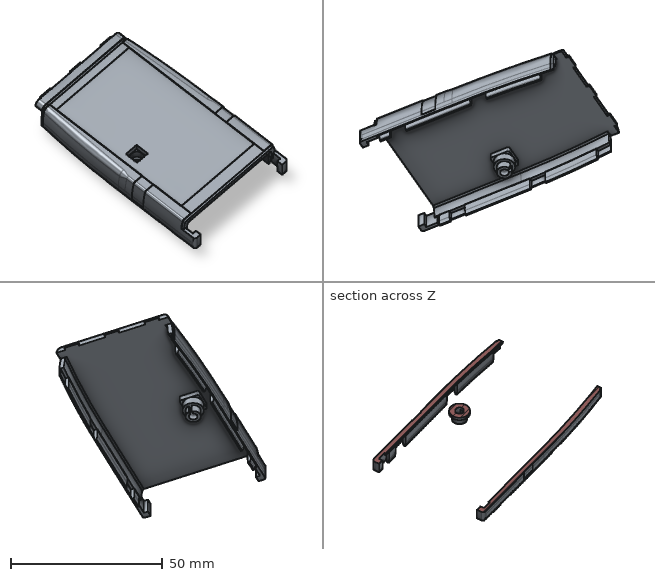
import cadquery as cq

top_z = 11.5
plate_bottom_z = 9.55
wall_step_z = 4.9
skirt_z = 2.95
rim_z = 2.0
foot_edge_z = 0.5

tongue_start = 1.0
lip_start = 4.0
body_start = 4.9
corner_change_start = 40.9
corner_change_end = 43.9
grip_start = 47.1
grip_end = 52.2
body_end = 69.35
lip_end = 70.25
arm_end = 75.7

full_half_width = 22.5
front_half_width = 20.8
taper_end = 37.85

front_flat_half = 18.4
mid_flat_half = 19.9
rear_flat_half = 20.7
front_corner_depth = 1.75
rear_corner_depth = 0.7
front_side_lean = 0.5
rear_side_lean = 0.8
side_bow = 0.2
skirt_draft = 0.3
lip_inset = 0.3
grip_depth = 0.15

upper_wall = 1.9
top_corner_wall = 2.35
lower_wall = 0.75
cavity_corner = 0.6

foot_spans = [(8.9, 28.7), (34.5, 58.75), (64.6, 68.4)]
foot_top_inset = 0.7
foot_edge_inset = 1.0
foot_bottom_inset = 1.3
foot_inner_inset = 2.05
foot_bottom_inner_inset = 1.8

tongue_half_width = 20.2
tongue_flat_half = 18.25
tab_width = 5.0
tab_height = 0.8
tab_spacing = 14.45

arm_top_z = 7.65
arm_thickness = 1.5
hook_start = 73.5
hook_tip_half = 19.5
hook_corner = 1.2

panel_half_width = 17.5
strip_depth = 0.2
panel_depth = 0.4
panel_start = 7.95
panel_end = 64.9

boss_x = 39.5
boss_y = -12.0
boss_width = 7.05
boss_corner = 0.6
boss_square_z = 7.6
boss_round_z = 4.8
tube_diameter = 5.1
pocket_width = 5.1
pocket_floor_z = 8.8
bore_diameter = 5.0
bore_floor_z = 5.9
hole_diameter = 2.8
tube_slot_width = 1.1

arc_mid = 0.5 ** 0.5


def fraction(x, start, end):
    """How far x lies from start to end, held between 0 and 1."""
    return min(1.0, max(0.0, (x - start) / (end - start)))


def blend(first, last, share):
    return first + (last - first) * share


def half_width(x):
    """Half width of the case at x: a parabola up to the straight stretch."""
    remaining = 1 - fraction(x, lip_start, taper_end)
    return blend(full_half_width, front_half_width, remaining ** 2)


def corner_shape(x):
    """Flat half width, corner depth and side lean of the outer section at x."""
    along = fraction(x, body_start, corner_change_start)
    flat_half = blend(front_flat_half, mid_flat_half, along)
    change = fraction(x, corner_change_start, corner_change_end)
    smooth_change = change ** 2 * (3 - 2 * change)
    return (
        blend(flat_half, rear_flat_half, smooth_change),
        blend(front_corner_depth, rear_corner_depth, smooth_change),
        blend(front_side_lean, rear_side_lean, smooth_change),
    )


def outer_section(x, inset=0.0):
    """Closed outer wire at x, drawn in the YZ plane; the inset spares the rim."""
    flat_half, corner_depth, side_lean = corner_shape(x)
    flat_half -= inset
    width = half_width(x) - inset
    rim = half_width(x) - skirt_draft
    top = top_z - inset
    shoulder = width - side_lean
    shoulder_z = top - corner_depth
    corner_y = flat_half + (shoulder - flat_half) * arc_mid
    corner_z = shoulder_z + corner_depth * arc_mid
    bow_y = (shoulder + width) / 2 + side_bow * side_lean
    bow_z = (shoulder_z + wall_step_z) / 2
    return (
        cq.Workplane("YZ", origin=(x, 0, 0))
        .moveTo(-flat_half, top)
        .lineTo(flat_half, top)
        .threePointArc((corner_y, corner_z), (shoulder, shoulder_z))
        .threePointArc((bow_y, bow_z), (width, wall_step_z))
        .lineTo(width, skirt_z)
        .lineTo(rim, rim_z)
        .lineTo(-rim, rim_z)
        .lineTo(-width, skirt_z)
        .lineTo(-width, wall_step_z)
        .threePointArc((-bow_y, bow_z), (-shoulder, shoulder_z))
        .threePointArc((-corner_y, corner_z), (-flat_half, top))
        .close()
    )


def cavity_section(x):
    """Closed inner wire at x with a step where the lower wall gets thinner."""
    width = half_width(x)
    top_half = width - top_corner_wall
    step_half = width - upper_wall
    low_half = width - lower_wall
    right = [
        (top_half - cavity_corner, plate_bottom_z),
        (top_half, plate_bottom_z - cavity_corner),
        (step_half, wall_step_z),
        (low_half, wall_step_z),
        (low_half, 0),
    ]
    left = [(-y, z) for y, z in reversed(right)]
    return cq.Workplane("YZ", origin=(x, 0, 0)).polyline(right + left).close()


def foot_section(x, side):
    """Closed foot wire at x on the side +1 or -1, with a bevelled lower edge."""
    width = half_width(x)
    points = [
        (width - foot_inner_inset, wall_step_z),
        (width - foot_top_inset, wall_step_z),
        (width - foot_top_inset, rim_z),
        (width - foot_edge_inset, foot_edge_z),
        (width - foot_bottom_inset, 0),
        (width - foot_bottom_inner_inset, 0),
        (width - foot_inner_inset, rim_z),
    ]
    sided_points = [(side * y, z) for y, z in points]
    return cq.Workplane("YZ", origin=(x, 0, 0)).polyline(sided_points).close()


def loft(sections, ruled=False):
    wires = [section.val() for section in sections]
    return cq.Workplane(cq.Solid.makeLoft(wires, ruled))


def block(x0, x1, y0, y1, z0, z1):
    return cq.Workplane().box(x1 - x0, y1 - y0, z1 - z0, centered=False).translate((x0, y0, z0))


def stations(start, end):
    """Five evenly spaced stations from start to end."""
    return [start + (end - start) * i / 4 for i in range(5)]


def make_shell():
    """Outer case with lips at both ends and grip recesses above the skirt, hollow from below."""
    tapered = loft([outer_section(x) for x in stations(body_start, corner_change_start)])
    change = loft([outer_section(x) for x in stations(corner_change_start, corner_change_end)])
    straight = outer_section(corner_change_end).extrude(body_end - corner_change_end)
    front_lip = loft([outer_section(x, lip_inset) for x in (lip_start, body_start)], True)
    rear_lip = outer_section(body_end, lip_inset).extrude(lip_end - body_end)
    shell = tapered.union(change).union(straight).union(front_lip).union(rear_lip)

    grip_length = grip_end - grip_start
    grip = outer_section(grip_start).extrude(grip_length)
    grip = grip.cut(outer_section(grip_start, grip_depth).extrude(grip_length))
    grip = grip.cut(block(grip_start, grip_end, -full_half_width, full_half_width, 0, skirt_z))
    shell = shell.cut(grip)

    tapered_cavity = loft([cavity_section(x) for x in stations(lip_start, taper_end)])
    straight_cavity = cavity_section(taper_end).extrude(lip_end - taper_end)
    return shell.cut(tapered_cavity).cut(straight_cavity)


def make_foot(start, end, side):
    return loft([foot_section(x, side) for x in stations(start, end)])


def make_tongue():
    """Round-shouldered tongue at the front with three tabs on its end."""
    corner_y = tongue_flat_half + (tongue_half_width - tongue_flat_half) * arc_mid
    corner_z = plate_bottom_z + (top_z - plate_bottom_z) * arc_mid
    tongue = (
        cq.Workplane("YZ", origin=(tongue_start, 0, 0))
        .moveTo(-tongue_flat_half, top_z)
        .lineTo(tongue_flat_half, top_z)
        .threePointArc((corner_y, corner_z), (tongue_half_width, plate_bottom_z))
        .lineTo(-tongue_half_width, plate_bottom_z)
        .threePointArc((-corner_y, corner_z), (-tongue_flat_half, top_z))
        .close()
        .extrude(lip_start - tongue_start)
    )
    for y in (-tab_spacing, 0, tab_spacing):
        tab = block(
            0, tongue_start,
            y - tab_width / 2, y + tab_width / 2,
            plate_bottom_z, plate_bottom_z + tab_height,
        )
        tongue = tongue.union(tab)
    return tongue


def make_arms():
    """Pair of arms behind the side walls, hooked inward at their ends."""
    arm_inner = full_half_width - arm_thickness
    plan = (
        cq.Workplane("XY")
        .moveTo(body_end, full_half_width)
        .lineTo(arm_end - hook_corner, full_half_width)
        .radiusArc((arm_end, full_half_width - hook_corner), hook_corner)
        .lineTo(arm_end, hook_tip_half)
        .lineTo(hook_start, hook_tip_half)
        .lineTo(hook_start, arm_inner)
        .lineTo(body_end, arm_inner)
        .close()
        .extrude(arm_top_z)
    )
    profile = outer_section(body_end).extrude(arm_end - body_end)
    arm = plan.intersect(profile)
    return arm.union(arm.mirror("XZ"))


def add_screw_boss(part):
    """Square-topped boss stepping down to a slotted tube, bored from above."""
    def round_bar(diameter, z0, z1):
        base = cq.Workplane("XY", origin=(boss_x, boss_y, z0))
        return base.circle(diameter / 2).extrude(z1 - z0)

    def square_bar(width, z0, z1):
        base = cq.Workplane("XY", origin=(boss_x, boss_y, z0))
        return base.rect(width, width).extrude(z1 - z0)

    square_boss = square_bar(boss_width, boss_square_z, plate_bottom_z).edges("|Z").fillet(boss_corner)
    part = part.union(square_boss)
    part = part.union(round_bar(boss_width, boss_round_z, boss_square_z))
    part = part.union(round_bar(tube_diameter, rim_z, boss_round_z))
    part = part.cut(square_bar(pocket_width, pocket_floor_z, top_z))
    part = part.cut(round_bar(bore_diameter, bore_floor_z, pocket_floor_z))
    part = part.cut(round_bar(hole_diameter, rim_z, bore_floor_z))
    slot = block(
        boss_x - tube_diameter / 2, boss_x,
        boss_y - tube_slot_width / 2, boss_y + tube_slot_width / 2,
        rim_z, boss_round_z,
    )
    return part.cut(slot)


def cut_top_panel(part):
    """Shallow full-length recess with a slightly deeper label panel inside it."""
    strip = block(body_start, body_end, -panel_half_width, panel_half_width, top_z - strip_depth, top_z)
    panel = block(panel_start, panel_end, -panel_half_width, panel_half_width, top_z - panel_depth, top_z)
    return part.cut(strip).cut(panel)


result = make_shell().union(make_tongue()).union(make_arms())
for foot_start, foot_end in foot_spans:
    for foot_side in (-1, 1):
        result = result.union(make_foot(foot_start, foot_end, foot_side))
result = add_screw_boss(cut_top_panel(result))